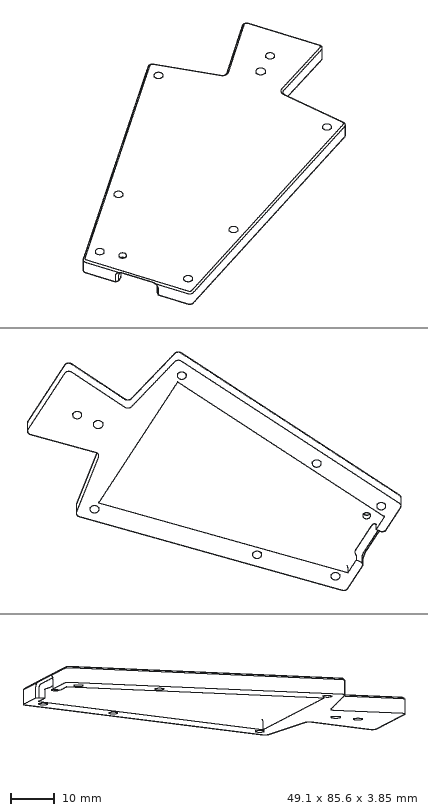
import cadquery as cq
import math

length = 85.6
thickness = 3.85
neck_end_half_width = 10.1
neck_root_half_width = 6.9
neck_root_y = 25.1
shoulder_half_width = 24.7
shoulder_y = 21.9
foot_half_width = 13.6
corner_radius = 1.0
top_chamfer = 0.4

screw_diameter = 2.05
screw_pairs = [(21.05, 18.8), (14.4, -20.0), (11.0, -38.7)]
neck_screw_y = 34.75
neck_pin_diameter = 2.2
neck_pin_y = 29.3
small_hole_diameter = 1.7
small_hole_center = (-5.7, -37.75)

pocket_height = 2.3
pocket_side_wall = 5.1
pocket_end_y = 18.8
foot_wall = 2.05
pocket_edge_radius = 0.5

channel_half_width = 4.8
channel_height = 3.0
channel_corner_radius = 1.0
channel_end_radius = 0.7
mouth_flare = 0.6
flare_angle = 45
channel_overrun = 1.7

foot_y = -length / 2
neck_end_y = length / 2


def make_plate():
    right_side = [
        (foot_half_width, foot_y),
        (shoulder_half_width, shoulder_y),
        (neck_root_half_width, neck_root_y),
        (neck_end_half_width, neck_end_y),
    ]
    left_side = [(-x, y) for x, y in reversed(right_side)]
    plate = cq.Workplane("XY").polyline(right_side + left_side).close().extrude(thickness)
    plate = plate.edges("|Z").fillet(corner_radius)
    return plate.faces(">Z").edges().chamfer(top_chamfer)


def make_holes(diameter, centers):
    return cq.Workplane("XY").pushPoints(centers).circle(diameter / 2).extrude(thickness)


def make_pocket():
    """Trapezoidal pocket with rounded edges around its ceiling."""
    side_slope = (shoulder_half_width - foot_half_width) / (shoulder_y - foot_y)
    start_y = foot_y + foot_wall
    start_half_width = foot_half_width + side_slope * foot_wall - pocket_side_wall
    end_half_width = start_half_width + side_slope * (pocket_end_y - start_y)
    corners = [
        (-start_half_width, start_y),
        (start_half_width, start_y),
        (end_half_width, pocket_end_y),
        (-end_half_width, pocket_end_y),
    ]
    pocket = cq.Workplane("XY").polyline(corners).close().extrude(pocket_height)
    return pocket.faces(">Z").edges().fillet(pocket_edge_radius)


def make_channel():
    """Opening with rounded upper edges; its ceiling curves down to meet the pocket."""
    channel = cq.Workplane("XY").box(
        2 * channel_half_width,
        foot_wall + channel_end_radius + channel_overrun,
        channel_height + channel_overrun,
        centered=(True, False, False),
    )
    channel = channel.translate((0, foot_y - channel_overrun, -channel_overrun))
    channel = channel.edges(">Z and |Y").fillet(channel_corner_radius)
    return channel.faces(">Y").edges(">Z").fillet(channel_end_radius)


def make_mouth():
    """Flare that widens the channel at the foot face."""
    half_width = channel_half_width + mouth_flare
    ceiling = channel_height + mouth_flare
    corner = channel_corner_radius + mouth_flare
    arc_inset = corner * (1 - math.sqrt(0.5))
    foot_plane = cq.Workplane("XZ", origin=(0, foot_y, 0))
    profile = (
        foot_plane.moveTo(-half_width, -channel_overrun)
        .lineTo(half_width, -channel_overrun)
        .lineTo(half_width, ceiling - corner)
        .threePointArc((half_width - arc_inset, ceiling - arc_inset), (half_width - corner, ceiling))
        .lineTo(corner - half_width, ceiling)
        .threePointArc((arc_inset - half_width, ceiling - arc_inset), (-half_width, ceiling - corner))
        .close()
    )
    return profile.extrude(-mouth_flare, taper=flare_angle)


screw_centers = [(side * x, y) for x, y in screw_pairs for side in (-1, 1)]
screw_centers.append((0, neck_screw_y))

result = make_plate().cut(make_pocket()).cut(make_channel())
result = result.cut(make_mouth())
result = result.cut(make_holes(screw_diameter, screw_centers))
result = result.cut(make_holes(neck_pin_diameter, [(0, neck_pin_y)]))
result = result.cut(make_holes(small_hole_diameter, [small_hole_center]))